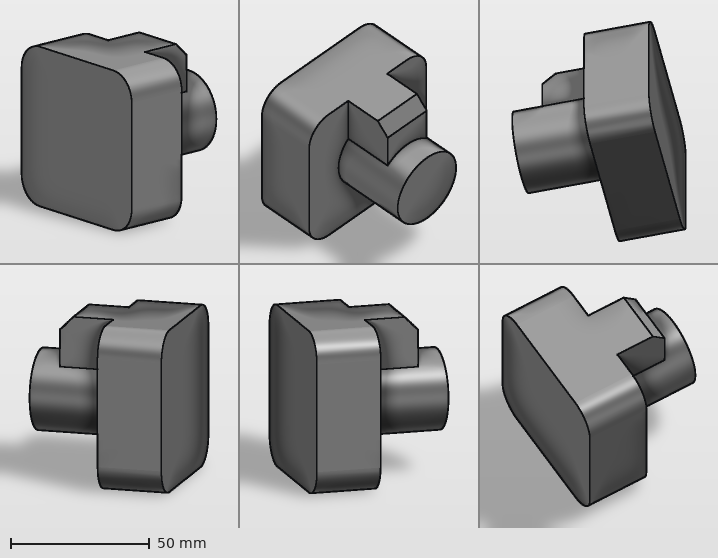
import cadquery as cq

plate_side = 60
plate_thickness = 24
corner_radius = plate_side / 6
boss_diameter = plate_side / 2
boss_length = 30
key_width = plate_side / 3
key_length = plate_side / 3
key_chamfer = corner_radius / 2


def make_plate():
    """Square plate with rounded corners, front face at Y = 0."""
    return (
        cq.Workplane("XZ")
        .rect(plate_side, plate_side)
        .extrude(-plate_thickness)
        .edges("|Y")
        .fillet(corner_radius)
    )


def make_boss():
    """Round boss centred on the back of the plate."""
    return (
        cq.Workplane("XZ", origin=(0, plate_thickness, 0))
        .circle(boss_diameter / 2)
        .extrude(-boss_length)
    )


def make_key():
    """Key from the boss axis up to the plate's top face, chamfered at its outer top edge."""
    key_height = plate_side / 2
    return (
        cq.Workplane("XY", origin=(0, plate_thickness, 0))
        .box(key_width, key_length, key_height, centered=(True, False, False))
        .edges(">Y and >Z")
        .chamfer(key_chamfer)
    )


result = make_plate().union(make_boss()).union(make_key())